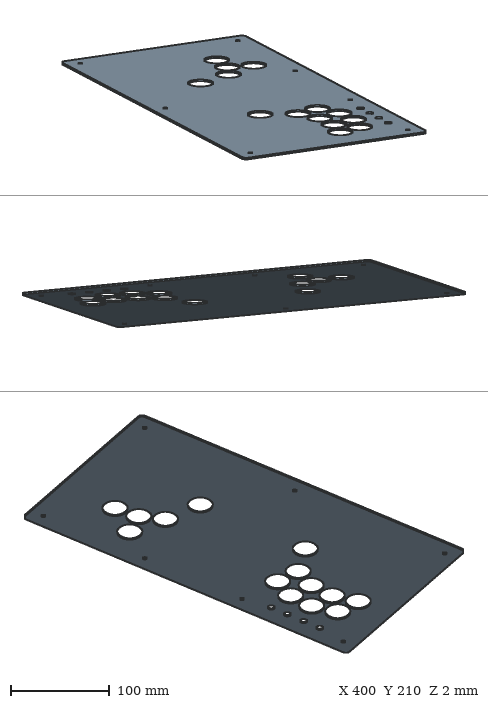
import cadquery as cq

length = 400.0
width = 210.0
thickness = 2.0
corner_radius = 5.0

screw_diameter = 4.0
screw_span_x = 370.0
screw_span_y = 180.0
inner_screw_span_x = 120.0

option_diameter = 7.0
option_count = 4
option_pitch = 20.0
option_first_x = 92.5
option_y = 85.0

button_diameter = 25.5
thumb_x = 65.0
thumb_y = -15.5
direction_centres = [(-132.5, 38.5), (-105.0, 36.0), (-80.0, 24.5), (-97.5, 62.5)]
action_upper_row = [(73.0, 45.5), (97.5, 57.5), (125.0, 59.5), (152.0, 52.5)]
action_row_shift_x = 7.0
action_row_shift_y = -26.0


def drill(plate, centres, diameter):
    """Cut a round through hole at each centre."""
    return plate.faces(">Z").workplane(origin=(0, 0, 0)).pushPoints(centres).hole(diameter)


plate = cq.Workplane("XY").box(length, width, thickness)
plate = plate.edges("|Z").fillet(corner_radius)

screw_x = screw_span_x / 2
screw_y = screw_span_y / 2
inner_screw_x = inner_screw_span_x / 2
screw_centres = [(x, screw_y) for x in (-screw_x, -inner_screw_x, inner_screw_x, screw_x)]
screw_centres += [(x, -screw_y) for x in (-screw_x, 0, screw_x)]
plate = drill(plate, screw_centres, screw_diameter)

option_centres = [(option_first_x + i * option_pitch, option_y) for i in range(option_count)]
plate = drill(plate, option_centres, option_diameter)

action_lower_row = [(x + action_row_shift_x, y + action_row_shift_y) for x, y in action_upper_row]
thumb_centres = [(-thumb_x, thumb_y), (thumb_x, thumb_y)]
button_centres = direction_centres + action_upper_row + action_lower_row + thumb_centres
plate = drill(plate, button_centres, button_diameter)

result = plate